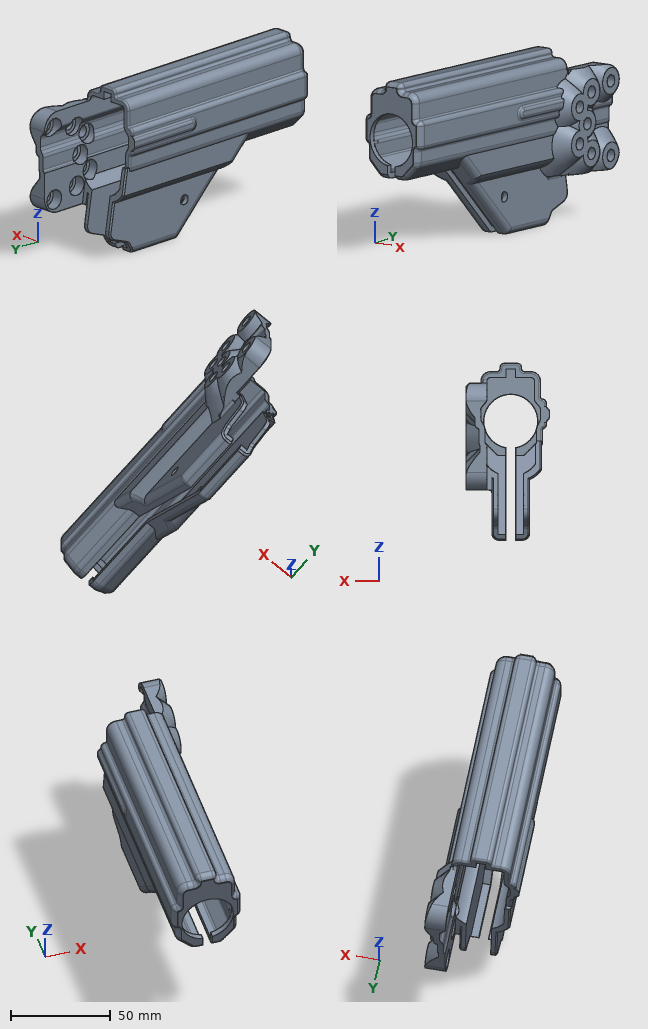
import cadquery as cq
import math

OVERALL_WIDTH = 42.0
OVERALL_LENGTH = 157.59
OVERALL_HEIGHT = 89.0
WALL = 3.0
BODY_LENGTH = 125.0
BODY_TOP = 29.2
BODY_BOTTOM = -20.2
BORE_DIAMETER = 27.0
SLIT_WIDTH = 5.0

TOP_RIB_HALF = 5.5
SHOULDER_Z = 25.0
SLIDE_HALF = 15.0
BULGE_HALF = 18.0
SLIDE_BOTTOM = 11.4
BULGE_TOP = 10.9
BULGE_BOTTOM = -2.95
FRAME_HALF = 16.0
FRAME_TOP = -3.85
FRAME_BOTTOM = -12.0
TOP_RIB_FILLET = 2.4
MUZZLE_RADIUS = 4.0
MUZZLE_FLAT = 0.4
REAR_FILLET = 1.0

CAVITY_SLIDE_BOTTOM = 10.2
CAVITY_BULGE_TOP = 6.6
CAVITY_BULGE_BOTTOM = 0.5
CAVITY_FRAME_TOP = -2.9
CAVITY_LOWER_RADIUS = 1.5

RAIL_HEIGHT = 1.5
RAIL_Z = 3.5
RAIL_BASE_HALF = 4.0
RAIL_MIDDLE_HALF = 2.85
RAIL_TOP_HALF = 1.2
RAIL_END = 80.0

GRIP_TOP = -10.0
GRIP_BOTTOM = BODY_TOP - OVERALL_HEIGHT
GRIP_HALF = 15.5
GRIP_NARROW_HALF = 9.5
GRIP_STEP_TOP = -24.2
GRIP_STEP_BOTTOM = -29.2
GRIP_NOSE = 84.5
GRIP_HEEL = 115.8
GRIP_STEP_BULGE = 0.58
GRIP_BACK_TOP = 126.8
GRIP_HEEL_STEP = (119.8, -53.0, 3.0)
GRIP_BACK_LOW = (133.3, -48.2, 5.0)
GRIP_NOSE_RADIUS = 1.5
GRIP_EDGE_FILLET = 3.7
GRIP_REAR_CHAMFER = 0.8
PIN_DIAMETER = 5.2
PIN_Y = 80.3
PIN_Z = -39.7

PLATE_INNER_X = 12.0
PLATE_OUTER_X = OVERALL_WIDTH - BULGE_HALF - RAIL_HEIGHT
PLATE_TOP = 19.2
PLATE_BOTTOM = -34.6
PLATE_CORNER = 9.0
PLATE_BLEND = 1.6
PLATE_FRONT = 100.0
HOLE_DIAMETER = 6.2
COUNTERBORE_DIAMETER = 10.2
COUNTERBORE_FLOOR_X = 18.0
PAD_RADIUS = 6.8
HOLE_PATTERN_Z = -8.4
MIDDLE_HOLE_Y = 131.5
HOLE_PAIRS = [(150.7, 19.05), (134.9, 15.7), (125.3, 9.4)]


def rounded_outline(plane, corners):
    """Closed wire through (u, v, radius) corners, each rounded by a tangent arc."""
    wire = cq.Workplane(plane)
    count = len(corners)
    for i, (u, v, radius) in enumerate(corners):
        corner = cq.Vector(u, v)
        back = (cq.Vector(*corners[i - 1][:2]) - corner).normalized()
        ahead = (cq.Vector(*corners[(i + 1) % count][:2]) - corner).normalized()
        half_angle = back.getAngle(ahead) / 2
        reach = radius / math.tan(half_angle)
        start = corner + back * reach
        end = corner + ahead * reach
        to_arc = radius / math.sin(half_angle) - radius
        middle = corner + (back + ahead).normalized() * to_arc
        wire = wire.moveTo(start.x, start.y) if i == 0 else wire.lineTo(start.x, start.y)
        if radius > 0:
            wire = wire.threePointArc((middle.x, middle.y), (end.x, end.y))
    return wire.close()


def mirrored(half):
    """Corners of the +X half (top to bottom) completed with their mirror image."""
    return half + [(-u, v, radius) for u, v, radius in reversed(half)]


def block(x_range, y_range, z_range):
    """Axis-aligned box between the given limits."""
    size = [high - low for low, high in (x_range, y_range, z_range)]
    box = cq.Workplane("XY").box(*size, centered=False)
    return box.translate((x_range[0], y_range[0], z_range[0]))


def body_outline():
    """Outer cross-section of the body: (x, z, corner radius) down the +X half."""
    return rounded_outline("XZ", mirrored([
        (TOP_RIB_HALF, BODY_TOP, TOP_RIB_FILLET),
        (TOP_RIB_HALF, SHOULDER_Z, 1.4),
        (SLIDE_HALF, SHOULDER_Z, 5.0),
        (SLIDE_HALF, SLIDE_BOTTOM, 0.9),
        (BULGE_HALF, BULGE_TOP, 2.5),
        (BULGE_HALF, BULGE_BOTTOM, 2.3),
        (FRAME_HALF, FRAME_TOP, 0.8),
        (FRAME_HALF, FRAME_BOTTOM, 4.5),
        (FRAME_HALF + BODY_BOTTOM - FRAME_BOTTOM, BODY_BOTTOM, 4.5),
    ]))


def make_body():
    body = body_outline().extrude(-BODY_LENGTH)
    body = body.faces(">Y").edges().fillet(REAR_FILLET)
    drop = MUZZLE_RADIUS - MUZZLE_FLAT
    inset = MUZZLE_RADIUS - math.sqrt(MUZZLE_RADIUS**2 - drop**2)
    half_drop = drop / 2
    half_inset = MUZZLE_RADIUS - math.sqrt(MUZZLE_RADIUS**2 - half_drop**2)
    margin = 0.5
    cutter = (
        cq.Workplane("YZ", origin=(TOP_RIB_HALF - TOP_RIB_FILLET, 0, 0))
        .moveTo(MUZZLE_RADIUS, BODY_TOP)
        .threePointArc(
            (MUZZLE_RADIUS - half_drop, BODY_TOP - half_inset),
            (MUZZLE_FLAT, BODY_TOP - inset),
        )
        .lineTo(-margin, BODY_TOP - inset)
        .lineTo(-margin, BODY_TOP + margin)
        .lineTo(MUZZLE_RADIUS, BODY_TOP + margin)
        .close()
        .sweep(body_outline())
    )
    return body.cut(cutter)


def cavity_outline():
    """Inner cross-section: (x, z, corner radius), about one wall thickness inside the body."""
    shift = WALL * math.tan(math.radians(22.5))
    floor_half = FRAME_HALF + BODY_BOTTOM - FRAME_BOTTOM
    return rounded_outline("XZ", mirrored([
        (TOP_RIB_HALF - WALL, BODY_TOP - WALL, 0),
        (TOP_RIB_HALF - WALL, SHOULDER_Z - WALL, 0),
        (SLIDE_HALF - WALL, SHOULDER_Z - WALL, 2.0),
        (SLIDE_HALF - WALL, CAVITY_SLIDE_BOTTOM, 1.6),
        (BULGE_HALF - WALL, CAVITY_BULGE_TOP, 2.4),
        (BULGE_HALF - WALL, CAVITY_BULGE_BOTTOM, 3.5),
        (FRAME_HALF - WALL, CAVITY_FRAME_TOP, 3.5),
        (FRAME_HALF - WALL, FRAME_BOTTOM + shift, CAVITY_LOWER_RADIUS),
        (floor_half - shift, BODY_BOTTOM + WALL, CAVITY_LOWER_RADIUS),
    ]))


def rail_half_section(y):
    """Upper half of the rail section at the given Y; its flank is an S of two tangent arcs."""
    lower_run = RAIL_BASE_HALF - RAIL_MIDDLE_HALF
    upper_run = RAIL_MIDDLE_HALF - RAIL_TOP_HALF
    half_lean = math.atan(RAIL_HEIGHT / (lower_run + upper_run))
    lean = 2 * half_lean
    lower_radius = lower_run / math.sin(lean)
    upper_radius = upper_run / math.sin(lean)
    top = BULGE_HALF + RAIL_HEIGHT
    lower_middle = (
        BULGE_HALF + lower_radius * (1 - math.cos(half_lean)),
        RAIL_BASE_HALF - lower_radius * math.sin(half_lean),
    )
    join = (BULGE_HALF + lower_run * math.tan(half_lean), RAIL_MIDDLE_HALF)
    upper_middle = (
        top - upper_radius * (1 - math.cos(half_lean)),
        RAIL_TOP_HALF + upper_radius * math.sin(half_lean),
    )
    root = BULGE_HALF - WALL / 2
    return (
        cq.Workplane("XZ", origin=(0, y, RAIL_Z))
        .moveTo(root, 0)
        .lineTo(root, RAIL_BASE_HALF)
        .lineTo(BULGE_HALF, RAIL_BASE_HALF)
        .threePointArc(lower_middle, join)
        .threePointArc(upper_middle, (top, RAIL_TOP_HALF))
        .lineTo(top, 0)
        .close()
    )


def make_rails():
    """Round-ended rail on each side of the body."""
    end_center = RAIL_END + RAIL_BASE_HALF
    upper = rail_half_section(end_center).extrude(end_center - BODY_LENGTH)
    lower = upper.mirror("XY", (0, 0, RAIL_Z))
    round_end = rail_half_section(end_center).revolve(360, (0, 0, 0), (1, 0, 0))
    rail = upper.union(lower).union(round_end)
    return rail.union(rail.mirror("YZ"))


def grip_section(inset=0.0):
    """Wide-then-narrow cross-section of the grip, drawn inward by the inset."""
    wide = GRIP_HALF - inset
    narrow = GRIP_NARROW_HALF - inset
    top = GRIP_STEP_TOP + inset
    bottom = GRIP_STEP_BOTTOM + inset
    bulge_x = narrow + GRIP_STEP_BULGE * (wide - narrow)
    bulge_z = top + GRIP_STEP_BULGE * (bottom - top)
    return (
        cq.Workplane("XZ")
        .moveTo(-wide, GRIP_TOP)
        .lineTo(wide, GRIP_TOP)
        .lineTo(wide, top)
        .threePointArc((bulge_x, bulge_z), (narrow, bottom))
        .lineTo(narrow, GRIP_BOTTOM + inset)
        .lineTo(-narrow, GRIP_BOTTOM + inset)
        .lineTo(-narrow, bottom)
        .threePointArc((-bulge_x, bulge_z), (-wide, top))
        .close()
        .extrude(-OVERALL_LENGTH)
    )


def grip_side(inset=0.0):
    """Side outline of the grip; the inset moves the 45-degree nose back."""
    nose_shift = inset * math.sqrt(2)
    nose_top = GRIP_NOSE - (GRIP_TOP - GRIP_BOTTOM)
    return rounded_outline("YZ", [
        (nose_top + nose_shift, GRIP_TOP, 0),
        (GRIP_NOSE + nose_shift, GRIP_BOTTOM, GRIP_NOSE_RADIUS),
        (GRIP_HEEL, GRIP_BOTTOM, 0),
        GRIP_HEEL_STEP,
        GRIP_BACK_LOW,
        (GRIP_BACK_TOP, GRIP_TOP, 0),
    ]).extrude(GRIP_HALF, both=True)


def make_grip():
    grip = grip_section().intersect(grip_side())
    outer = grip.faces("<(0, 1, 1)").edges("not |X")
    grip = outer.add(grip.faces("<Z").edges("|Y")).fillet(GRIP_EDGE_FILLET)
    rear_zone = cq.selectors.BoxSelector(
        (-GRIP_HALF, GRIP_HEEL, GRIP_BOTTOM), (GRIP_HALF, OVERALL_LENGTH, FRAME_BOTTOM)
    )
    return grip.edges(rear_zone).edges("not |X").chamfer(GRIP_REAR_CHAMFER)


def hole_places():
    """(Y, Z) of every hole in the mounting plate."""
    pairs = [(y, HOLE_PATTERN_Z + side * half) for y, half in HOLE_PAIRS for side in (1, -1)]
    return [(MIDDLE_HOLE_Y, HOLE_PATTERN_Z)] + pairs


def make_plate(body_wall):
    """Plate behind the body on +X: wall sheet plus 45-degree pads around the holes."""
    depth = PLATE_OUTER_X - GRIP_NARROW_HALF
    outline = (
        cq.Workplane("YZ", origin=(GRIP_NARROW_HALF, 0, 0))
        .moveTo(PLATE_FRONT, PLATE_BOTTOM)
        .lineTo(OVERALL_LENGTH, PLATE_BOTTOM)
        .lineTo(OVERALL_LENGTH, PLATE_TOP)
        .lineTo(PLATE_FRONT, PLATE_TOP)
        .close()
        .extrude(depth)
        .edges("|X and >Y")
        .fillet(PLATE_CORNER)
    )
    sheet = block((PLATE_INNER_X, GRIP_HALF), (BODY_LENGTH, OVERALL_LENGTH), (PLATE_BOTTOM, PLATE_TOP))
    lobes = sheet.union(body_wall)
    for y, z in hole_places():
        pad = cq.Solid.makeCone(
            PAD_RADIUS + depth, PAD_RADIUS, depth, cq.Vector(GRIP_NARROW_HALF, y, z), cq.Vector(1, 0, 0)
        )
        lobes = lobes.union(cq.Workplane(pad))
    plate = lobes.intersect(outline)
    beyond_face = block(
        (PLATE_INNER_X, PLATE_OUTER_X), (PLATE_FRONT, OVERALL_LENGTH), (PLATE_BOTTOM, PLATE_TOP)
    )
    return plate.intersect(beyond_face).union(plate.intersect(grip_side()))


def corner_web(plane, origin, u_side, v_side, length):
    """Concave quarter-round strip that fills an inside corner."""
    u = u_side * PLATE_BLEND
    v = v_side * PLATE_BLEND
    on_arc = 1 - math.sqrt(0.5)
    return (
        cq.Workplane(plane, origin=origin)
        .lineTo(u, 0)
        .threePointArc((u * on_arc, v * on_arc), (0, v))
        .close()
        .extrude(length)
    )


def make_plate_blends():
    """Webs where the plate meets the rear of the body and the side of the grip."""
    top_width = SLIDE_HALF - REAR_FILLET - PLATE_INNER_X
    top = corner_web("YZ", (PLATE_INNER_X, BODY_LENGTH, PLATE_TOP), 1, 1, top_width)
    grip_corner = (GRIP_NARROW_HALF, GRIP_HEEL, PLATE_BOTTOM)
    bottom = corner_web("XZ", grip_corner, 1, -1, GRIP_HEEL - GRIP_BACK_TOP)
    return top.union(bottom)


def make_part():
    body_wall = body_outline().extrude(-OVERALL_LENGTH)
    part = make_body().union(make_rails()).union(make_grip()).union(make_plate(body_wall))
    part = part.union(make_plate_blends())
    cavity = cavity_outline().extrude(WALL - OVERALL_LENGTH).translate((0, WALL, 0))
    part = part.cut(cavity)
    part = part.cut(grip_section(WALL).intersect(grip_side(WALL)))
    part = part.cut(cq.Workplane("XZ").circle(BORE_DIAMETER / 2).extrude(-2 * WALL))
    part = part.cut(block((-SLIT_WIDTH / 2, SLIT_WIDTH / 2), (0, OVERALL_LENGTH), (GRIP_BOTTOM, 0)))
    holes = cq.Workplane("YZ").pushPoints(hole_places())
    part = part.cut(holes.circle(HOLE_DIAMETER / 2).extrude(PLATE_OUTER_X))
    part = part.cut(holes.circle(COUNTERBORE_DIAMETER / 2).extrude(COUNTERBORE_FLOOR_X))
    pin = cq.Workplane("YZ").center(PIN_Y, PIN_Z).circle(PIN_DIAMETER / 2)
    return part.cut(pin.extrude(GRIP_HALF, both=True))


result = make_part()